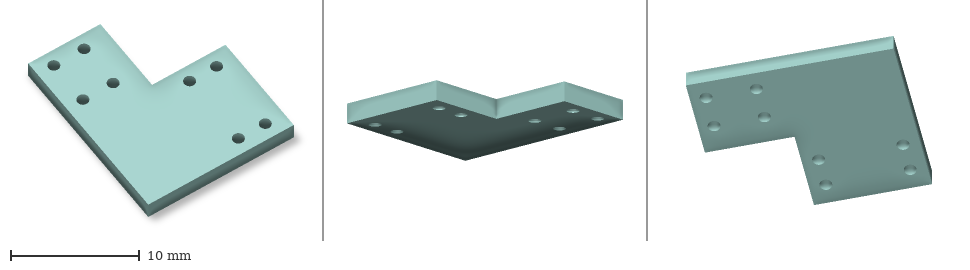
import cadquery as cq

length = 16.52
width = 13.66
thickness = 1.6

notch_length = 7.12
arm_width = 6.77

hole_diameter = 1.0
arm_hole_x = 1.27
arm_hole_y = 1.54
arm_hole_pitch_x = 4.0
arm_hole_pitch_y = 2.84
head_hole_x = 8.45
head_hole_y = 9.38
head_hole_pitch_x = 6.7
head_hole_pitch_y = 2.53


def hole_group(first_x, first_y, pitch_x, pitch_y):
    """Centres of a two-by-two group of holes."""
    return [
        (first_x + column * pitch_x, first_y + row * pitch_y)
        for column in range(2)
        for row in range(2)
    ]


plate = (
    cq.Workplane("XY")
    .polyline([
        (0, 0),
        (length, 0),
        (length, width),
        (notch_length, width),
        (notch_length, arm_width),
        (0, arm_width),
    ])
    .close()
    .extrude(thickness)
)

hole_centres = (
    hole_group(arm_hole_x, arm_hole_y, arm_hole_pitch_x, arm_hole_pitch_y)
    + hole_group(head_hole_x, head_hole_y, head_hole_pitch_x, head_hole_pitch_y)
)
holes = (
    cq.Workplane("XY")
    .pushPoints(hole_centres)
    .circle(hole_diameter / 2)
    .extrude(thickness)
)

result = plate.cut(holes)